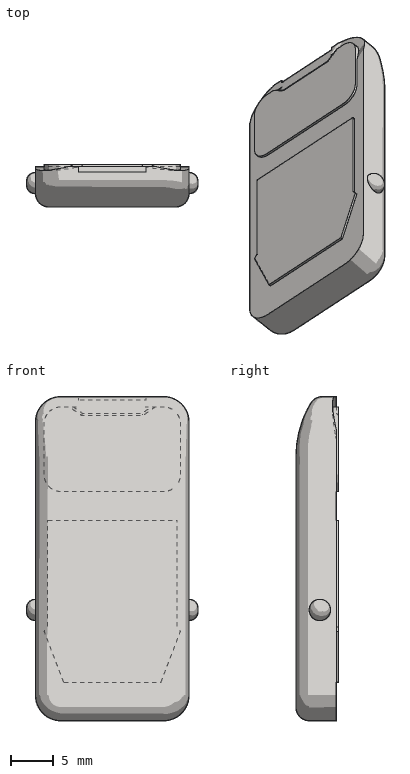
import cadquery as cq
import math

overall_width = 20.1
body_width = 18.0
body_height = 38.0
body_depth = 4.75
corner_radius = 3.0
front_fillet = 1.6
nose_radius = 12.0
nose_start = 30.97

trough_depth = 0.45
trough_half_chord = 2.77
trough_length = 7.6

panel_rise = 0.25
panel_half_width = 7.98
panel_base = 3.42
upper_panel_top = 36.8
upper_panel_bottom = 26.85
upper_panel_radius = 1.98
lower_panel_top = 23.5
lower_panel_bottom = 4.52
ear_top = 11.02
ear_tip = 10.5
ear_width = 0.38
lower_panel_taper = 2.28

notch_width = 7.9
notch_depth = 0.6
notch_drop = 0.38
recess_mouth_width = 9.12
recess_floor_width = 7.0
recess_depth = 0.75
recess_draft = 45.0

button_radius = 1.25
button_rise = (overall_width - body_width) / 2
button_round = 1.03
button_y = 2.8
button_z = 13.0
button_root = 0.75


def plane_at_depth(y):
    """Work plane at depth y: local x is X, local y is Z, and it extrudes toward -Y."""
    return cq.Workplane("XZ", origin=(0, y, 0))


def make_body():
    outline = (
        plane_at_depth(body_depth)
        .center(0, body_height / 2)
        .rect(body_width, body_height)
        .extrude(body_depth)
        .edges("|Y")
        .fillet(corner_radius)
    )
    nose_angle = math.asin((body_height - nose_start) / nose_radius)

    def nose_point(angle):
        return (
            nose_radius * (1 - math.cos(angle)),
            nose_start + nose_radius * math.sin(angle),
        )

    side_profile = (
        cq.Workplane("YZ")
        .moveTo(0, 0)
        .lineTo(0, nose_start)
        .threePointArc(nose_point(nose_angle / 2), nose_point(nose_angle))
        .lineTo(body_depth, body_height)
        .lineTo(body_depth, 0)
        .close()
        .extrude(body_width / 2, both=True)
    )
    body = outline.intersect(side_profile)
    return body.faces("<Y").edges("<Z").fillet(front_fillet)


def make_corner_trough(side):
    """Cylinder along the corner's diagonal that dips below the back face at the corner."""
    trough_radius = (trough_half_chord**2 + trough_depth**2) / (2 * trough_depth)
    start = cq.Vector(
        side * body_width / 2,
        body_depth - trough_depth + trough_radius,
        body_height,
    )
    inward = cq.Vector(-side, 0, -1)
    return cq.Workplane(cq.Solid.makeCylinder(trough_radius, trough_length, start, inward))


def make_notch():
    return (
        cq.Workplane("YZ")
        .moveTo(body_depth - notch_depth, body_height)
        .lineTo(body_depth, body_height)
        .lineTo(body_depth, body_height - notch_drop)
        .close()
        .extrude(notch_width / 2, both=True)
    )


def make_upper_panel():
    panel_height = upper_panel_top - upper_panel_bottom
    panel = (
        plane_at_depth(body_depth + panel_rise)
        .center(0, upper_panel_bottom + panel_height / 2)
        .rect(2 * panel_half_width, panel_height)
        .extrude(body_depth + panel_rise - panel_base)
        .edges("|Y")
        .fillet(upper_panel_radius)
    )
    floor = recess_floor_width / 2
    mouth = recess_mouth_width / 2
    cutter_mouth = 2 * mouth - floor
    cutter_top = upper_panel_top + recess_depth
    recess = (
        plane_at_depth(body_depth)
        .polyline([
            (-cutter_mouth, cutter_top),
            (-floor, upper_panel_top - recess_depth),
            (floor, upper_panel_top - recess_depth),
            (cutter_mouth, cutter_top),
        ])
        .close()
        .extrude(-panel_rise, taper=-recess_draft)
    )
    return panel.cut(recess)


def make_lower_panel():
    straight = panel_half_width - ear_width
    bottom = panel_half_width - lower_panel_taper
    right_side = [
        (straight, lower_panel_top),
        (straight, ear_top),
        (panel_half_width, ear_tip),
        (bottom, lower_panel_bottom),
    ]
    left_side = [(-x, z) for x, z in reversed(right_side)]
    return (
        plane_at_depth(body_depth + panel_rise)
        .polyline(right_side + left_side)
        .close()
        .extrude(panel_rise)
    )


def make_button(side):
    start = cq.Vector(side * (body_width / 2 - button_root), button_y, button_z)
    outward = cq.Vector(side, 0, 0)
    pin = cq.Solid.makeCylinder(button_radius, button_root + button_rise, start, outward)
    tip = ">X" if side > 0 else "<X"
    return cq.Workplane(pin).faces(tip).edges().fillet(button_round)


result = make_body().cut(make_notch())
for side in (-1, 1):
    result = result.cut(make_corner_trough(side))
result = result.union(make_upper_panel()).union(make_lower_panel())
for side in (-1, 1):
    result = result.union(make_button(side))